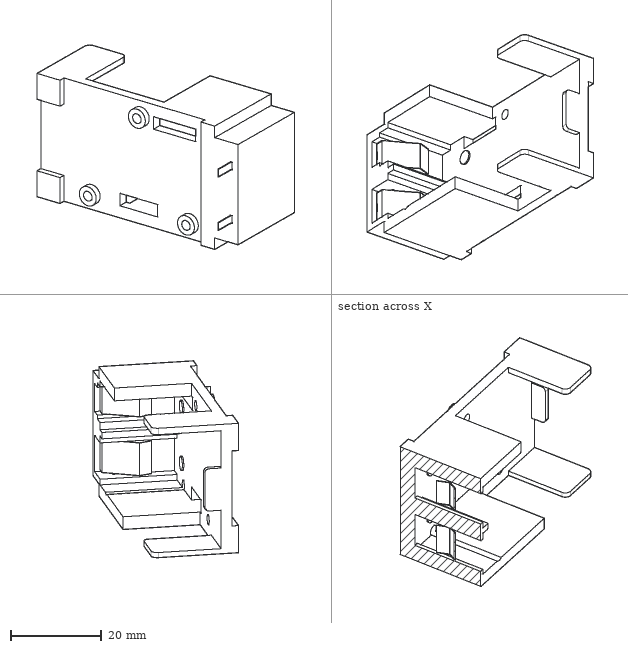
import cadquery as cq

LENGTH = 55.1
WIDTH = 30.1
HEIGHT = 21.5
HEIGHT_WITH_PINS = 26.3
HALF_WIDTH = WIDTH / 2

FLOOR_BOTTOM = 1.5
FLOOR_TOP = 3.95
PAD_SIZE = 6.35
BOSS_RADIUS = 2.3
BOSS_HOLE_RADIUS = 1.15
BOSS_Z = 11.25
BOSS_CENTRES = [(13.95, -BOSS_Z), (27.4, BOSS_Z), (40.85, -BOSS_Z)]
DISC_RADIUS = 1.6
DISC_HEIGHT = 0.35
DISC_X = 41.9

ARM_LENGTH = 10.55
ARM_TOP = 19.55
ARM_CORNER_RADIUS = 1.4
UPPER_ARM_THICKNESS = 1.5
LOWER_ARM_THICKNESS = 1.2
TAB_LENGTH = 1.25
TAB_WIDTH = 9.8
TAB_TOP = 7.65
TAB_CORNER_RADIUS = 0.95

WALL_INNER_Z = 12.05
UPPER_WALL_START = 31.95
LOWER_WALL_START = 22.6
SLOT_WIDTH = 3.05
UPPER_SLOT_START = 30.85
UPPER_SLOT_LENGTH = 11.6
LOWER_SLOT_START = 21.65
LOWER_SLOT_LENGTH = 10.35

BLOCK_START = 44.9
SHOULDER_END = 48.7
BLOCK_HALF_WIDTH = 12.25
BLOCK_FACE = 47.4
RIB_LENGTH = 2.1
RIB_WIDTH = 1.5
POCKET_BACK = 50.45
UPPER_POCKET_Z = (2.4, 10.75)
LOWER_POCKET_Z = (-10.75, -2.3)
RECESS_FLOOR = 17.95
PIN_SLOT_START = 52.9
PIN_SLOT_END = 53.5

SHEET = 0.2
PIN_X = 53.0
PIN_Z = 6.5
PIN_WIDTH = 1.9
PIN_TIP = HEIGHT - HEIGHT_WITH_PINS
LEAF_TOP = 20.3
LEAF_TOP_X = 51.15
CREST_X = 47.1
CREST_Y = 12.55
LEAF_END_X = 48.1
LEAF_END_Y = 9.65
UPPER_LEAF_Z = (3.25, 9.55)
LOWER_LEAF_Z = (-10.4, -2.8)
UPPER_RECESS_Z = (UPPER_LEAF_Z[0], 9.7)
LOWER_RECESS_Z = LOWER_POCKET_Z


def block(x_range, y_range, z_range):
    """Box between the given limits on each axis."""
    spans = (x_range, y_range, z_range)
    sizes = [high - low for low, high in spans]
    return cq.Workplane("XY").box(*sizes, centered=False).translate([low for low, _ in spans])


def centred_range(centre, width):
    """Limits of a span of the given width about its centre."""
    return (centre - width / 2, centre + width / 2)


def cylinder_along_y(x, z, radius, y_range):
    """Cylinder with its axis along Y."""
    start, end = y_range
    axis = cq.Vector(0, 1, 0)
    return cq.Workplane(cq.Solid.makeCylinder(radius, end - start, cq.Vector(x, start, z), axis))


def make_floor():
    """Floor plate with corner pads under the open end and two slots beside the side walls."""
    floor = block((0, BLOCK_START), (FLOOR_BOTTOM, FLOOR_TOP), (-HALF_WIDTH, HALF_WIDTH))
    for z_range in ((-HALF_WIDTH, PAD_SIZE - HALF_WIDTH), (HALF_WIDTH - PAD_SIZE, HALF_WIDTH)):
        floor = floor.union(block((0, PAD_SIZE), (0, FLOOR_BOTTOM), z_range))
    upper_slot = (UPPER_SLOT_START, UPPER_SLOT_START + UPPER_SLOT_LENGTH)
    lower_slot = (LOWER_SLOT_START, LOWER_SLOT_START + LOWER_SLOT_LENGTH)
    through = (FLOOR_BOTTOM, FLOOR_TOP)
    floor = floor.cut(block(upper_slot, through, (WALL_INNER_Z - SLOT_WIDTH, WALL_INNER_Z)))
    return floor.cut(block(lower_slot, through, (-WALL_INNER_Z, SLOT_WIDTH - WALL_INNER_Z)))


def make_arm(z_range):
    """Guide arm with two rounded free corners."""
    arm = block((0, ARM_LENGTH), (FLOOR_BOTTOM, ARM_TOP), z_range)
    return arm.edges("|Z and >Y").fillet(ARM_CORNER_RADIUS)


def make_tab():
    """Stop tab standing on the end of the floor between the arms."""
    tab = block((0, TAB_LENGTH), (FLOOR_BOTTOM, TAB_TOP), centred_range(0, TAB_WIDTH))
    return tab.edges("|X and >Y").fillet(TAB_CORNER_RADIUS)


def make_terminal_block():
    """Stepped end block with its centre rib, contact pockets, recesses and pin slots."""
    full_height = (0, HEIGHT)
    body = block((BLOCK_START, SHOULDER_END), full_height, (-HALF_WIDTH, HALF_WIDTH))
    body = body.cut(block((BLOCK_START, BLOCK_FACE), (FLOOR_TOP, HEIGHT), (-WALL_INNER_Z, WALL_INNER_Z)))
    body = body.union(block((BLOCK_FACE, LENGTH), full_height, (-BLOCK_HALF_WIDTH, BLOCK_HALF_WIDTH)))
    rib_x = (BLOCK_FACE - RIB_LENGTH, BLOCK_FACE)
    body = body.union(block(rib_x, (FLOOR_BOTTOM, HEIGHT), centred_range(0, RIB_WIDTH)))
    stations = (
        (PIN_Z, UPPER_POCKET_Z, UPPER_RECESS_Z),
        (-PIN_Z, LOWER_POCKET_Z, LOWER_RECESS_Z),
    )
    for pin_centre, pocket_z, recess_z in stations:
        pin_z = centred_range(pin_centre, PIN_WIDTH)
        body = body.cut(block((BLOCK_FACE, POCKET_BACK), (FLOOR_TOP, HEIGHT), pocket_z))
        body = body.cut(block((POCKET_BACK, PIN_X + SHEET), (RECESS_FLOOR, HEIGHT), recess_z))
        body = body.cut(block((PIN_SLOT_START, PIN_SLOT_END), (0, RECESS_FLOOR), pin_z))
    return body


def make_housing():
    """Battery holder housing."""
    upper_wall_z = (WALL_INNER_Z, HALF_WIDTH)
    lower_wall_z = (-HALF_WIDTH, -WALL_INNER_Z)
    wall_y = (FLOOR_BOTTOM, HEIGHT)
    housing = make_floor().union(make_terminal_block()).union(make_tab())
    housing = housing.union(make_arm((HALF_WIDTH - UPPER_ARM_THICKNESS, HALF_WIDTH)))
    housing = housing.union(make_arm((-HALF_WIDTH, LOWER_ARM_THICKNESS - HALF_WIDTH)))
    housing = housing.union(block((UPPER_WALL_START, SHOULDER_END), wall_y, upper_wall_z))
    housing = housing.union(block((LOWER_WALL_START, SHOULDER_END), wall_y, lower_wall_z))
    for z in (-PIN_Z, PIN_Z):
        disc_y = (FLOOR_BOTTOM, FLOOR_TOP + DISC_HEIGHT)
        housing = housing.union(cylinder_along_y(DISC_X, z, DISC_RADIUS, disc_y))
    for x, z in BOSS_CENTRES:
        housing = housing.union(cylinder_along_y(x, z, BOSS_RADIUS, (0, FLOOR_BOTTOM)))
        housing = housing.cut(cylinder_along_y(x, z, BOSS_HOLE_RADIUS, (0, HEIGHT)))
    return housing


def make_contact(pin_z, leaf_z):
    """Contact bent from one strip: straight pin, then a wider spring leaf with a V-shaped crest."""
    pin_top = LEAF_TOP - SHEET
    pin = block((PIN_X, PIN_X + SHEET), (PIN_TIP, pin_top), centred_range(pin_z, PIN_WIDTH))
    front = [(LEAF_TOP_X, LEAF_TOP), (CREST_X, CREST_Y), (LEAF_END_X, LEAF_END_Y)]
    back = [(x + SHEET, y) for x, y in reversed(front[1:])]
    profile = [
        (PIN_X + SHEET, pin_top),
        (PIN_X + SHEET, LEAF_TOP),
        *front,
        *back,
        (LEAF_TOP_X + SHEET, pin_top),
    ]
    low, high = leaf_z
    leaf = cq.Workplane("XY").workplane(offset=low).polyline(profile).close().extrude(high - low)
    return pin.union(leaf)


housing = make_housing()
contacts = [make_contact(z, leaf_z) for z, leaf_z in ((PIN_Z, UPPER_LEAF_Z), (-PIN_Z, LOWER_LEAF_Z))]

result = cq.Compound.makeCompound([housing.solids().val(), *[contact.solids().val() for contact in contacts]])